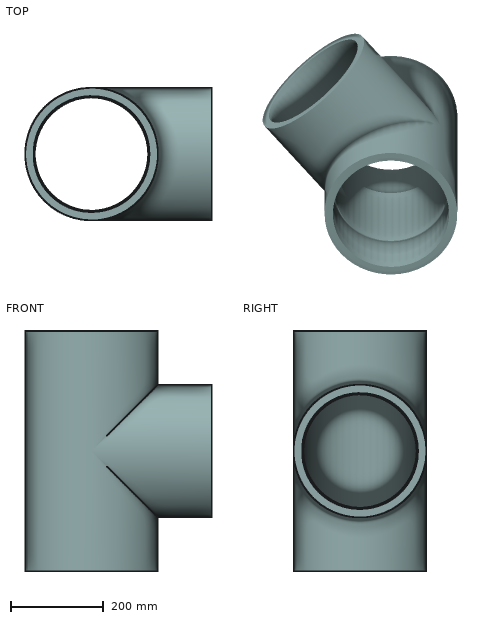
import cadquery as cq

run_length = 518.0
outer_diameter = 286.0
socket_diameter = 250.0
bore_diameter = 244.0
socket_depth = 131.5
half_run = run_length / 2
branch_length = half_run


def run_cylinder(diameter, bottom, top):
    """Cylinder on the Z axis between two heights."""
    return cq.Workplane("XY").workplane(offset=bottom).circle(diameter / 2).extrude(top - bottom)


def branch_cylinder(diameter, start, end):
    """Cylinder on the X axis between two distances from the run axis."""
    return cq.Workplane("YZ").workplane(offset=start).circle(diameter / 2).extrude(end - start)


body = run_cylinder(outer_diameter, -half_run, half_run).union(
    branch_cylinder(outer_diameter, 0, branch_length)
)

passages = run_cylinder(bore_diameter, -half_run, half_run).union(
    branch_cylinder(bore_diameter, 0, branch_length)
)

sockets = [
    run_cylinder(socket_diameter, half_run - socket_depth, half_run),
    run_cylinder(socket_diameter, -half_run, -half_run + socket_depth),
    branch_cylinder(socket_diameter, branch_length - socket_depth, branch_length),
]

result = body.cut(passages)
for socket in sockets:
    result = result.cut(socket)